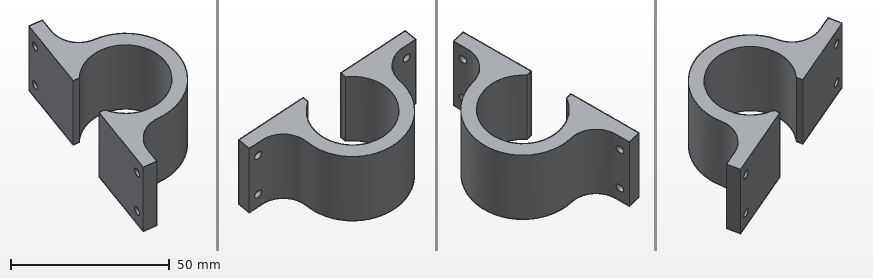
import cadquery as cq
import math

length = 70.0
depth = 34.0
height = 30.0
wall = 5.0
ring_radius = 19.5
fillet_radius = 10.0
slot_width = 15.75
hole_diameter = 3.0
hole_end_inset = 3.8
hole_edge_inset = 6.0

bore_radius = ring_radius - wall
base_y = ring_radius - depth
flange_y = base_y + wall
fillet_center_y = flange_y + fillet_radius
center_distance = ring_radius + fillet_radius
fillet_center_x = math.sqrt(center_distance**2 - fillet_center_y**2)
tangent_angle = math.atan2(fillet_center_y, fillet_center_x)
tangent_x = ring_radius * math.cos(tangent_angle)
tangent_y = ring_radius * math.sin(tangent_angle)
hole_x = length / 2 - hole_end_inset
hole_z = height / 2 - hole_edge_inset


def fillet_midpoint(side):
    """Middle of the concave arc on the given side (-1 or 1)."""
    start_angle = math.pi + tangent_angle
    end_angle = 1.5 * math.pi
    angle = (start_angle + end_angle) / 2
    x = fillet_center_x + fillet_radius * math.cos(angle)
    y = fillet_center_y + fillet_radius * math.sin(angle)
    return side * x, y


def clamp_body():
    """Ring and flanges as one outline, extruded symmetrically along Z."""
    return (
        cq.Workplane("XY")
        .moveTo(-length / 2, base_y)
        .lineTo(length / 2, base_y)
        .lineTo(length / 2, flange_y)
        .lineTo(fillet_center_x, flange_y)
        .threePointArc(fillet_midpoint(1), (tangent_x, tangent_y))
        .threePointArc((0, ring_radius), (-tangent_x, tangent_y))
        .threePointArc(fillet_midpoint(-1), (-fillet_center_x, flange_y))
        .lineTo(-length / 2, flange_y)
        .close()
        .extrude(height / 2, both=True)
    )


def bore():
    return cq.Workplane("XY").circle(bore_radius).extrude(height / 2, both=True)


def slot():
    """Opening from the mounting face into the bore."""
    return (
        cq.Workplane("XY")
        .center(0, base_y / 2)
        .rect(slot_width, -base_y)
        .extrude(height / 2, both=True)
    )


def mounting_holes():
    """Four holes through the flanges along Y."""
    return (
        cq.Workplane("XZ", origin=(0, base_y, 0))
        .rect(2 * hole_x, 2 * hole_z, forConstruction=True)
        .vertices()
        .circle(hole_diameter / 2)
        .extrude(-wall)
    )


result = clamp_body().cut(bore()).cut(slot()).cut(mounting_holes())